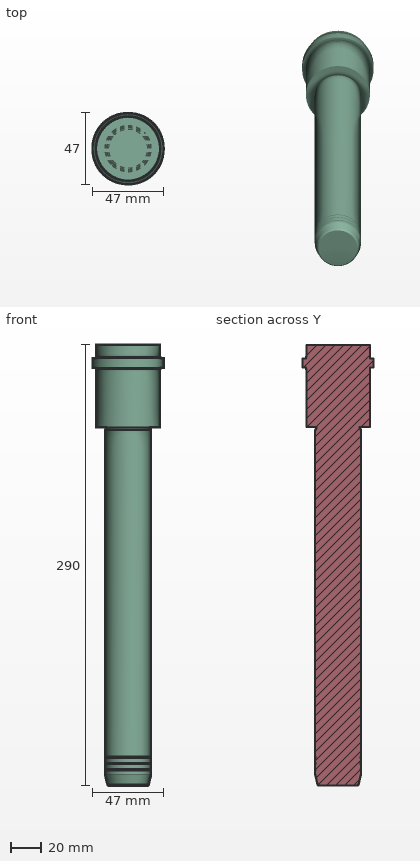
import cadquery as cq

total_length = 290.0

head_diameter = 42.0
head_length = 54.5
collar_diameter = 47.0
collar_width = 6.5
collar_top_depth = 9.0
shoulder_width = 1.0
shoulder_step = 0.15

rod_diameter = 30.5
neck_diameter = 28.5
neck_length = 1.7

nose_length = 7.5
nose_end_diameter = 27.3
tip_chamfer = 1.0

groove_count = 3
groove_width = 1.0
groove_depth = 0.3
groove_pitch = 4.0
lowest_groove_height = 10.2

rod_radius = rod_diameter / 2
neck_radius = neck_diameter / 2
nose_end_radius = nose_end_diameter / 2
head_radius = head_diameter / 2
shoulder_radius = head_radius + shoulder_step
collar_radius = collar_diameter / 2
head_bottom = total_length - head_length
collar_top = total_length - collar_top_depth
collar_bottom = collar_top - collar_width


def revolve_about_z(outline):
    return outline.close().revolve(360, (0, 0, 0), (0, 1, 0))


def make_rod():
    outline = (
        cq.Workplane("XZ")
        .lineTo(nose_end_radius - tip_chamfer, 0)
        .lineTo(nose_end_radius, tip_chamfer)
        .lineTo(rod_radius, nose_length)
        .lineTo(rod_radius, head_bottom - neck_length)
        .lineTo(neck_radius, head_bottom)
        .lineTo(0, head_bottom)
    )
    return revolve_about_z(outline)


def make_head():
    outline = (
        cq.Workplane("XZ")
        .moveTo(0, head_bottom)
        .lineTo(head_radius, head_bottom)
        .lineTo(head_radius, collar_bottom - shoulder_width)
        .lineTo(shoulder_radius, collar_bottom - shoulder_width)
        .lineTo(shoulder_radius, collar_bottom)
        .lineTo(collar_radius, collar_bottom)
        .lineTo(collar_radius, collar_top)
        .lineTo(shoulder_radius, collar_top)
        .lineTo(shoulder_radius, collar_top + shoulder_width)
        .lineTo(head_radius, collar_top + shoulder_width)
        .lineTo(head_radius, total_length)
        .lineTo(0, total_length)
    )
    return revolve_about_z(outline)


def make_groove_cutter(bottom):
    return (
        cq.Workplane("XY")
        .workplane(offset=bottom)
        .circle(rod_radius)
        .circle(rod_radius - groove_depth)
        .extrude(groove_width)
    )


result = make_rod().union(make_head())
for index in range(groove_count):
    result = result.cut(make_groove_cutter(lowest_groove_height + index * groove_pitch))